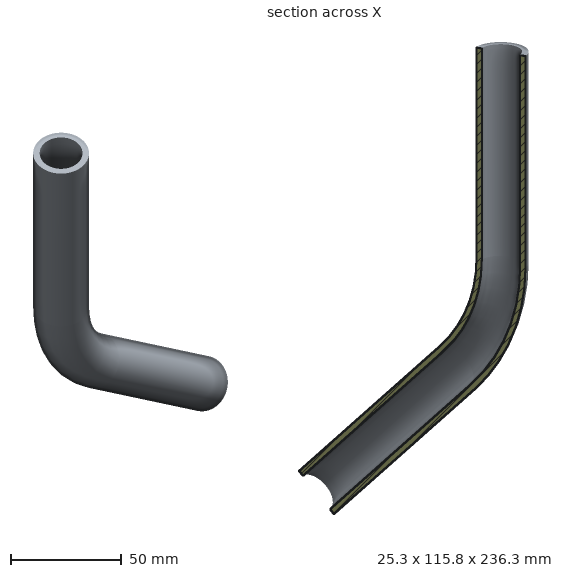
import cadquery as cq
import math

overall_height = 236.3
outer_diameter = 25.3
bore_diameter = 19.4
leg_length = 101.5
bend_angle = 45.0

sine = math.sin(math.radians(bend_angle))
cosine = math.cos(math.radians(bend_angle))

end_corner_drop = outer_diameter / 2 * sine
bend_height = overall_height - leg_length * (1 + cosine) - end_corner_drop
bend_radius = bend_height / sine


def bend_point(angle):
    """Centreline point (y, z) of the bend, with the angle in degrees from its upper end."""
    turn = math.radians(angle)
    y = bend_radius * (1 - math.cos(turn))
    z = -leg_length - bend_radius * math.sin(turn)
    return (y, z)


def centreline():
    """Vertical leg, tangent bend and sloping leg in the YZ plane."""
    bend_end_y, bend_end_z = bend_point(bend_angle)
    lower_end = (bend_end_y + leg_length * sine, bend_end_z - leg_length * cosine)
    return (
        cq.Workplane("YZ")
        .lineTo(0, -leg_length)
        .threePointArc(bend_point(bend_angle / 2), bend_point(bend_angle))
        .lineTo(*lower_end)
    )


result = (
    cq.Workplane("XY")
    .circle(outer_diameter / 2)
    .circle(bore_diameter / 2)
    .sweep(centreline())
)